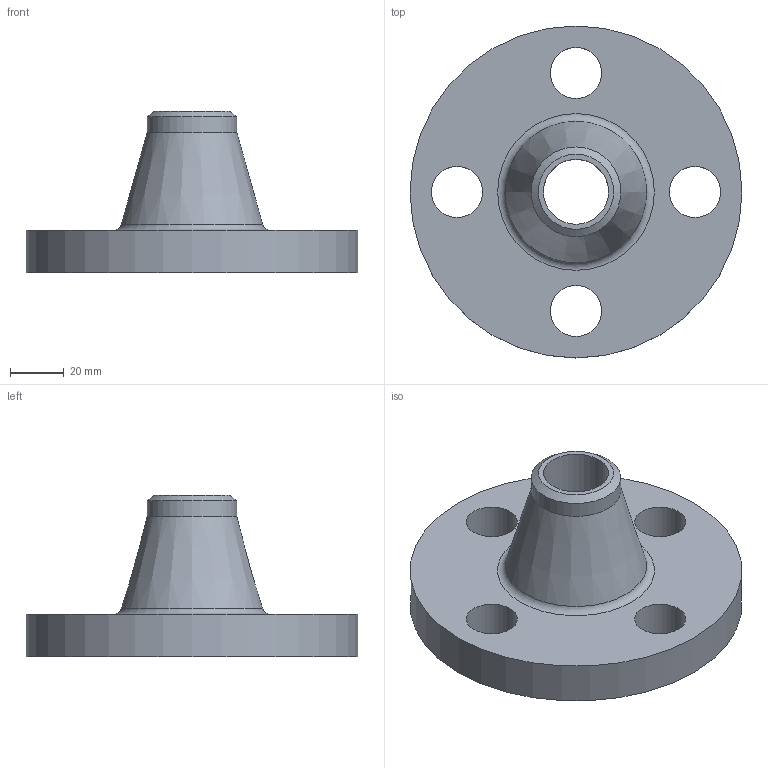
import cadquery as cq
import math

flange_diameter = 124.0
flange_thickness = 15.9
overall_height = 60.45
bore_diameter = 24.3

bolt_hole_count = 4
bolt_hole_diameter = 19.1
bolt_circle_diameter = 88.9

hub_base_diameter = 54.0
hub_fillet_radius = 3.0
neck_diameter = 33.5
neck_length = 8.0
bevel_angle = 37.5
land_width = 1.9

bore_radius = bore_diameter / 2
neck_radius = neck_diameter / 2
land_radius = bore_radius + land_width
bevel_height = (neck_radius - land_radius) * math.tan(math.radians(bevel_angle))
taper_top = overall_height - neck_length


def make_flange():
    """Round plate resting on the XY plane."""
    return cq.Workplane("XY").circle(flange_diameter / 2).extrude(flange_thickness)


def make_hub():
    """Tapered hub, straight neck and bevelled weld end, revolved about Z."""
    return (
        cq.Workplane("XZ")
        .lineTo(hub_base_diameter / 2, 0)
        .lineTo(hub_base_diameter / 2, flange_thickness)
        .lineTo(neck_radius, taper_top)
        .lineTo(neck_radius, overall_height - bevel_height)
        .lineTo(land_radius, overall_height)
        .lineTo(0, overall_height)
        .close()
        .revolve(360, (0, 0), (0, 1))
    )


def fillet_hub_base(body):
    """Round the corner where the hub meets the plate."""
    plate_top_point = (bolt_circle_diameter / 2, 0, flange_thickness)
    plate_top = body.faces(cq.selectors.NearestToPointSelector(plate_top_point))
    hub_corner = plate_top.edges(cq.selectors.RadiusNthSelector(0))
    return hub_corner.fillet(hub_fillet_radius)


def cut_bore(body):
    """Bore straight through the whole part."""
    return body.cut(cq.Workplane("XY").circle(bore_radius).extrude(overall_height))


def cut_bolt_holes(body):
    """Through holes on the bolt circle, one on each of the X and Y half-axes."""
    holes = (
        cq.Workplane("XY")
        .polarArray(bolt_circle_diameter / 2, 0, 360, bolt_hole_count)
        .circle(bolt_hole_diameter / 2)
        .extrude(flange_thickness)
    )
    return body.cut(holes)


blank = make_flange().union(make_hub())
blank = fillet_hub_base(blank)
result = cut_bolt_holes(cut_bore(blank))